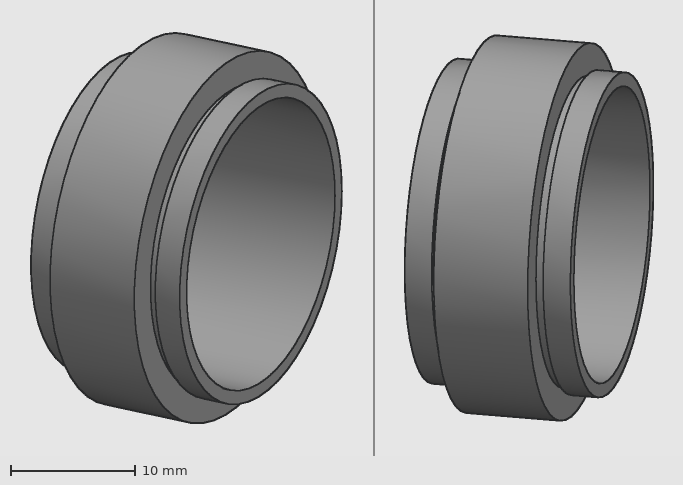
import cadquery as cq

total_width = 13.8
body_width = 7.8
lip_width = 2.25
body_diameter = 30.5
lip_diameter = 26.25
groove_diameter = 25.25
bore_diameter = 24.0

neck_width = total_width - 2 * lip_width


def centred_cylinder(diameter, width):
    """Cylinder along X, centred on the origin."""
    return cq.Workplane("YZ").circle(diameter / 2).extrude(width / 2, both=True)


def end_lip(start_x):
    """Raised lip beginning at start_x and running toward +X."""
    return cq.Workplane("YZ", origin=(start_x, 0, 0)).circle(lip_diameter / 2).extrude(lip_width)


outer = centred_cylinder(body_diameter, body_width)
outer = outer.union(centred_cylinder(groove_diameter, neck_width))
for lip_start in (-total_width / 2, neck_width / 2):
    outer = outer.union(end_lip(lip_start))

result = outer.cut(centred_cylinder(bore_diameter, total_width))